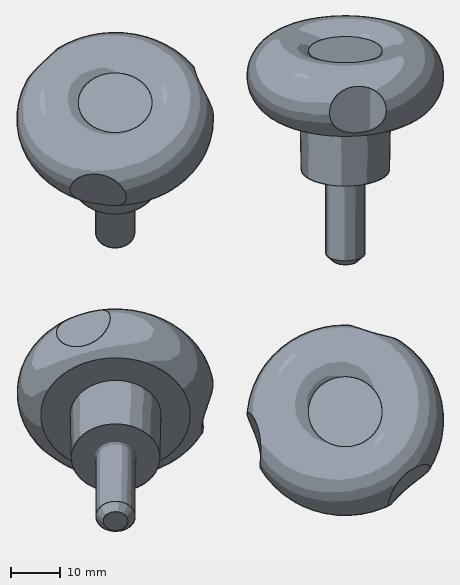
import cadquery as cq
import math

STUD_DIAMETER = 8.0
STUD_LENGTH = 20.0
STUD_TIP_CHAMFER = 1.5
STUD_ROOT_FILLET = 0.3

HUB_BOTTOM_RADIUS = 9.0
HUB_DRAFT_ANGLE = 1.0
KNOB_BASE_HEIGHT = 13.5
KNOB_TOP_HEIGHT = 28.0

KNOB_RADIUS = 20.0
RIM_RADIUS = 7.5
DISH_RADIUS = 7.5

GRIP_COUNT = 3
GRIP_RADIUS = 15.5
GRIP_BOTTOM_DISTANCE = 18.0
FIRST_GRIP_ANGLE = 90.0

RIM_CENTRE_RADIUS = KNOB_RADIUS - RIM_RADIUS
RIM_CENTRE_HEIGHT = KNOB_TOP_HEIGHT - RIM_RADIUS


def make_knob():
    """Head with a round rim, a dished top and a flat underside."""
    dish_inset = RIM_CENTRE_RADIUS - DISH_RADIUS
    dish_height = RIM_CENTRE_HEIGHT + math.sqrt(RIM_RADIUS**2 - dish_inset**2)
    base_drop = RIM_CENTRE_HEIGHT - KNOB_BASE_HEIGHT
    base_radius = RIM_CENTRE_RADIUS + math.sqrt(RIM_RADIUS**2 - base_drop**2)
    profile = (
        cq.Workplane("XZ")
        .moveTo(0, KNOB_BASE_HEIGHT)
        .lineTo(base_radius, KNOB_BASE_HEIGHT)
        .threePointArc((KNOB_RADIUS, RIM_CENTRE_HEIGHT), (DISH_RADIUS, dish_height))
        .lineTo(0, dish_height)
        .close()
    )
    return profile.revolve(360, (0, 0, 0), (0, 1, 0))


def make_hub_and_stud():
    """Tapered hub and plain stud with a filleted root and a chamfered tip."""
    hub_top_radius = HUB_BOTTOM_RADIUS + KNOB_BASE_HEIGHT * math.tan(math.radians(HUB_DRAFT_ANGLE))
    stud_radius = STUD_DIAMETER / 2
    fillet_side = STUD_ROOT_FILLET * (1 - math.sqrt(0.5))
    profile = (
        cq.Workplane("XZ")
        .moveTo(0, KNOB_BASE_HEIGHT)
        .lineTo(hub_top_radius, KNOB_BASE_HEIGHT)
        .lineTo(HUB_BOTTOM_RADIUS, 0)
        .lineTo(stud_radius + STUD_ROOT_FILLET, 0)
        .threePointArc(
            (stud_radius + fillet_side, -fillet_side),
            (stud_radius, -STUD_ROOT_FILLET),
        )
        .lineTo(stud_radius, STUD_TIP_CHAMFER - STUD_LENGTH)
        .lineTo(stud_radius - STUD_TIP_CHAMFER, -STUD_LENGTH)
        .lineTo(0, -STUD_LENGTH)
        .close()
    )
    return profile.revolve(360, (0, 0, 0), (0, 1, 0))


def cut_grips(knob):
    """Cut the evenly spaced upright finger grips into the rim."""
    grips = (
        cq.Workplane("XY")
        .workplane(offset=KNOB_BASE_HEIGHT)
        .polarArray(GRIP_BOTTOM_DISTANCE + GRIP_RADIUS, FIRST_GRIP_ANGLE, 360, GRIP_COUNT)
        .circle(GRIP_RADIUS)
        .extrude(KNOB_TOP_HEIGHT - KNOB_BASE_HEIGHT)
    )
    return knob.cut(grips)


result = cut_grips(make_knob()).union(make_hub_and_stud())